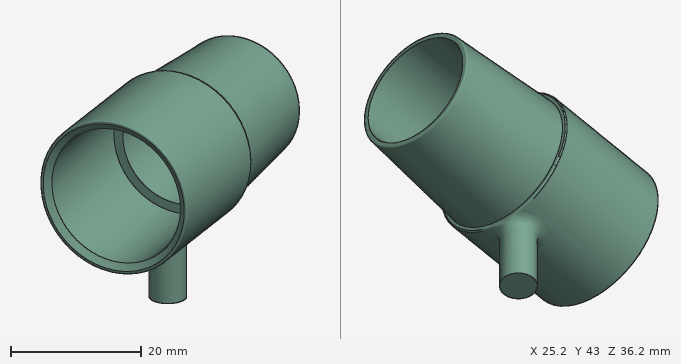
import cadquery as cq

total_length = 43.0
barrel_diameter = 25.2
barrel_length = 22.0
socket_diameter = 22.1
spigot_root_diameter = 23.65
spigot_tip_diameter = 20.73
bore_diameter = 19.0
edge_round = 0.2
lead_in_diameter = 24.25
lead_in_depth = 0.85

pin_diameter = 5.8
pin_position = 18.5
pin_fillet = 1.85
overall_height = 36.2
pin_tip_z = barrel_diameter / 2 - overall_height


def cylinder_along_y(diameter, start, end):
    plane = cq.Workplane("XZ", origin=(0, start, 0))
    return plane.circle(diameter / 2).extrude(start - end)


def revolve_about_y(points):
    profile = cq.Workplane("XY").polyline(points).close()
    return profile.revolve(360, (0, 0, 0), (0, 1, 0))


def make_barrel_with_pin():
    """Round-edged barrel with its filleted pin, the fillet trimmed flush with the step."""
    barrel = cylinder_along_y(barrel_diameter, 0, total_length)
    pin = (
        cq.Workplane("XY", origin=(0, pin_position, pin_tip_z))
        .circle(pin_diameter / 2)
        .extrude(-pin_tip_z)
    )
    joint_centre = (0, pin_position, -barrel_diameter / 2)
    body = barrel.union(pin)
    body = body.edges(cq.selectors.NearestToPointSelector(joint_centre)).fillet(pin_fillet)
    beyond_step = cylinder_along_y(2 * overall_height, barrel_length, total_length)
    body = body.cut(beyond_step)
    return body.faces("<Y or >Y").edges().fillet(edge_round)


def make_spigot():
    """Tapered spigot with a rounded tip, rooted inside the barrel step."""
    spigot = revolve_about_y([
        (0, barrel_length - edge_round),
        (spigot_root_diameter / 2, barrel_length - edge_round),
        (spigot_root_diameter / 2, barrel_length),
        (spigot_tip_diameter / 2, total_length),
        (0, total_length),
    ])
    return spigot.faces(">Y").edges().fillet(edge_round)


def make_cavity():
    """Lead-in cone, socket up to the step, then the narrower through bore."""
    return revolve_about_y([
        (0, 0),
        (lead_in_diameter / 2, 0),
        (socket_diameter / 2, lead_in_depth),
        (socket_diameter / 2, barrel_length),
        (bore_diameter / 2, barrel_length),
        (bore_diameter / 2, total_length),
        (0, total_length),
    ])


result = make_barrel_with_pin().union(make_spigot()).cut(make_cavity())